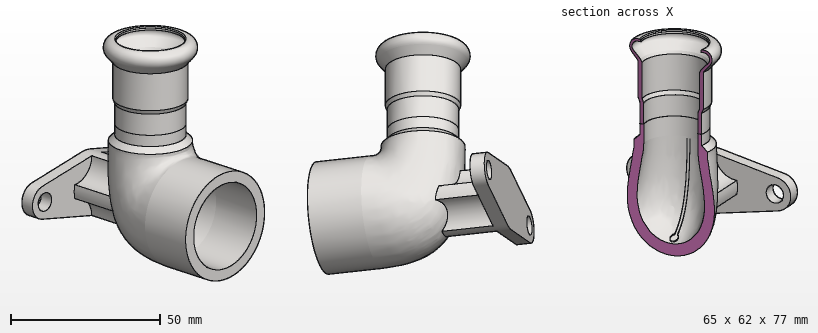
import cadquery as cq
import math


SOCKET_RADIUS = 38.0 / 2
SOCKET_BORE_RADIUS = 30.25 / 2
SOCKET_START_X = 16.1
SOCKET_END_X = 34.95
COLLAR_RADIUS = 28.3 / 2
COLLAR_BORE_RADIUS = 20.9 / 2
BEND_TOP_Z = 20.9
COLLAR_TOP_Z = 21.9
SPIGOT_BASE_Z = 23.9
SEAM_Z = 27.9
OUTER_FULLNESS = 0.76
INNER_FULLNESS = 0.55
BEND_STEPS = 12

KEYHOLE_DIAMETER = 2.85
KEYHOLE_SLOT_WIDTH = 1.1
KEYHOLE_DEPTH = 0.4

PLATE_BACK_X = -30.0
PLATE_THICKNESS = 5.0
PLATE_CENTRE_RADIUS = 10.9
PLATE_END_RADIUS = 6.0
PLATE_HALF_LENGTH = 62.0 / 2
HOLE_DIAMETER = 6.5
HOLE_OFFSET = PLATE_HALF_LENGTH - PLATE_END_RADIUS
FLUTE_OFFSET = 10.8
FLUTE_RADIUS = 8.3

TUBE_RADIUS = 24.0 / 2
TUBE_BORE_RADIUS = 21.0 / 2
SLEEVE_RADIUS = 25.3 / 2
SLEEVE_BORE_RADIUS = 22.2 / 2
MOUTH_RADIUS = 23.2 / 2
TUBE_TOP_Z = 77 - SOCKET_RADIUS
STEP_BASE_Z = 35.4
STEP_TOP_Z = 36.9
SLEEVE_BORE_TOP_Z = 49.75
SLEEVE_TOP_Z = 50.05
BEAD_BORE_BASE_Z = 50.75
BEAD_RADIUS = 3.1
BEAD_CENTRE_RADIUS = 12.8
BEAD_CENTRE_Z = TUBE_TOP_Z - BEAD_RADIUS
BEAD_WALL = SLEEVE_RADIUS - MOUTH_RADIUS
LIP_CHAMFER = 0.4


def bezier(start, corner, end, fullness, t):
    """Point on a cubic curve that leaves start and reaches end heading along the corner's sides."""
    first = [s + fullness * (c - s) for s, c in zip(start, corner)]
    second = [e + fullness * (c - e) for e, c in zip(end, corner)]
    return [
        (1 - t) ** 3 * a + 3 * (1 - t) ** 2 * t * b + 3 * (1 - t) * t ** 2 * c + t ** 3 * d
        for a, b, c, d in zip(start, first, second, end)
    ]


def make_bend(tube_radius, socket_radius):
    """Loft ellipses that span the inner and outer bend curves, from the collar to the socket."""
    sections = []
    for step in range(BEND_STEPS + 1):
        t = step / BEND_STEPS
        outer = bezier((-tube_radius, BEND_TOP_Z), (-tube_radius, -socket_radius),
                       (SOCKET_START_X, -socket_radius), OUTER_FULLNESS, t)
        inner = bezier((tube_radius, BEND_TOP_Z), (tube_radius, socket_radius),
                       (SOCKET_START_X, socket_radius), INNER_FULLNESS, t)
        across_x = inner[0] - outer[0]
        across_z = inner[1] - outer[1]
        centre = cq.Vector((inner[0] + outer[0]) / 2, 0, (inner[1] + outer[1]) / 2)
        normal = cq.Vector(across_z, 0, -across_x)
        half_span = math.hypot(across_x, across_z) / 2
        half_width = min(half_span, tube_radius + (socket_radius - tube_radius) * t)
        plane = cq.Plane(centre, xDir=(across_x, 0, across_z), normal=normal)
        sections.append(cq.Workplane(plane).ellipse(half_span, half_width).wires().val())
    return cq.Workplane(cq.Solid.makeLoft(sections))


def revolve_about_z(profile):
    return profile.close().revolve(360, (0, 0, 0), (0, 1, 0))


def cylinder_along_x(radius, start, end):
    return cq.Workplane("YZ", origin=(start, 0, 0)).circle(radius).extrude(end - start)


def make_elbow_outside():
    collar = revolve_about_z(
        cq.Workplane("XZ")
        .moveTo(0, BEND_TOP_Z)
        .lineTo(COLLAR_RADIUS, BEND_TOP_Z)
        .lineTo(COLLAR_RADIUS, COLLAR_TOP_Z)
        .lineTo(TUBE_RADIUS, SPIGOT_BASE_Z)
        .lineTo(TUBE_RADIUS, SEAM_Z)
        .lineTo(0, SEAM_Z)
    )
    socket = cylinder_along_x(SOCKET_RADIUS, SOCKET_START_X, SOCKET_END_X)
    return make_bend(COLLAR_RADIUS, SOCKET_RADIUS).union(collar).union(socket)


def make_elbow_bore():
    collar_bore = (
        cq.Workplane("XY", origin=(0, 0, BEND_TOP_Z))
        .circle(COLLAR_BORE_RADIUS)
        .extrude(SEAM_Z - BEND_TOP_Z)
    )
    socket_bore = cylinder_along_x(SOCKET_BORE_RADIUS, SOCKET_START_X, SOCKET_END_X)
    return make_bend(COLLAR_BORE_RADIUS, SOCKET_BORE_RADIUS).union(collar_bore).union(socket_bore)


def make_keyhole():
    """Keyhole that follows the floor of the bend at a constant depth."""
    height = SOCKET_RADIUS + BEND_TOP_Z - KEYHOLE_DEPTH
    column = cq.Workplane("XY", origin=(0, 0, -SOCKET_RADIUS)).circle(KEYHOLE_DIAMETER / 2)
    slot = (
        cq.Workplane("XY", origin=(-COLLAR_BORE_RADIUS / 2, 0, -SOCKET_RADIUS))
        .rect(COLLAR_BORE_RADIUS, KEYHOLE_SLOT_WIDTH)
        .extrude(height)
    )
    outline = column.extrude(height).union(slot)
    lowered_floor = make_bend(COLLAR_BORE_RADIUS, SOCKET_BORE_RADIUS).translate((0, 0, -KEYHOLE_DEPTH))
    return outline.intersect(lowered_floor)


def make_plate():
    """Plate bounded by a large centre arc, two end arcs and their common tangents."""
    slope = (PLATE_CENTRE_RADIUS - PLATE_END_RADIUS) / HOLE_OFFSET
    rise = math.sqrt(1 - slope ** 2)
    centre_y = PLATE_CENTRE_RADIUS * slope
    centre_z = PLATE_CENTRE_RADIUS * rise
    end_y = HOLE_OFFSET + PLATE_END_RADIUS * slope
    end_z = PLATE_END_RADIUS * rise
    return (
        cq.Workplane("YZ", origin=(PLATE_BACK_X, 0, 0))
        .moveTo(-centre_y, centre_z)
        .threePointArc((0, PLATE_CENTRE_RADIUS), (centre_y, centre_z))
        .lineTo(end_y, end_z)
        .threePointArc((PLATE_HALF_LENGTH, 0), (end_y, -end_z))
        .lineTo(centre_y, -centre_z)
        .threePointArc((0, -PLATE_CENTRE_RADIUS), (-centre_y, -centre_z))
        .lineTo(-end_y, -end_z)
        .threePointArc((-PLATE_HALF_LENGTH, 0), (-end_y, end_z))
        .close()
        .pushPoints([(-HOLE_OFFSET, 0), (HOLE_OFFSET, 0)])
        .circle(HOLE_DIAMETER / 2)
        .extrude(PLATE_THICKNESS)
    )


def make_stem():
    """Round bar with four concave flutes, running from the plate into the bend."""
    start = PLATE_BACK_X + PLATE_THICKNESS
    flutes = (
        cq.Workplane("YZ", origin=(start, 0, 0))
        .rect(2 * FLUTE_OFFSET, 2 * FLUTE_OFFSET, forConstruction=True)
        .vertices()
        .circle(FLUTE_RADIUS)
        .extrude(-start)
    )
    return cylinder_along_x(PLATE_CENTRE_RADIUS, start, 0).cut(flutes)


def make_elbow():
    casting = make_elbow_outside().union(make_stem()).cut(make_elbow_bore()).cut(make_keyhole())
    return casting.union(make_plate(), clean=False)


def make_press_tube():
    """Stepped tube with a hollow bead at its mouth, revolved from its wall section."""
    neck_run = BEAD_CENTRE_RADIUS - SLEEVE_RADIUS
    neck_height = BEAD_CENTRE_Z - SLEEVE_TOP_Z
    neck_distance = math.hypot(neck_run, neck_height)
    tangent_angle = math.atan2(-neck_height, -neck_run) + math.acos(BEAD_RADIUS / neck_distance)
    groove_radius = BEAD_RADIUS - BEAD_WALL

    def around_bead(radius, angle):
        return (BEAD_CENTRE_RADIUS + radius * math.cos(angle), BEAD_CENTRE_Z + radius * math.sin(angle))

    return revolve_about_z(
        cq.Workplane("XZ")
        .moveTo(TUBE_BORE_RADIUS, SEAM_Z)
        .lineTo(TUBE_RADIUS, SEAM_Z)
        .lineTo(TUBE_RADIUS, STEP_BASE_Z)
        .lineTo(SLEEVE_RADIUS, STEP_TOP_Z)
        .lineTo(SLEEVE_RADIUS, SLEEVE_TOP_Z)
        .lineTo(*around_bead(BEAD_RADIUS, tangent_angle))
        .threePointArc(around_bead(BEAD_RADIUS, 0), around_bead(BEAD_RADIUS, math.pi / 2))
        .lineTo(MOUTH_RADIUS + LIP_CHAMFER, TUBE_TOP_Z)
        .lineTo(MOUTH_RADIUS, TUBE_TOP_Z - LIP_CHAMFER)
        .lineTo(MOUTH_RADIUS, TUBE_TOP_Z - BEAD_WALL)
        .lineTo(*around_bead(groove_radius, math.pi / 2))
        .threePointArc(around_bead(groove_radius, 0), around_bead(groove_radius, tangent_angle))
        .lineTo(MOUTH_RADIUS, BEAD_BORE_BASE_Z)
        .lineTo(SLEEVE_BORE_RADIUS, SLEEVE_BORE_TOP_Z)
        .lineTo(SLEEVE_BORE_RADIUS, STEP_TOP_Z)
        .lineTo(TUBE_BORE_RADIUS, STEP_BASE_Z)
    )


elbow = make_elbow()
press_tube = make_press_tube()

result = cq.Compound.makeCompound([elbow.solids().val(), press_tube.val()])